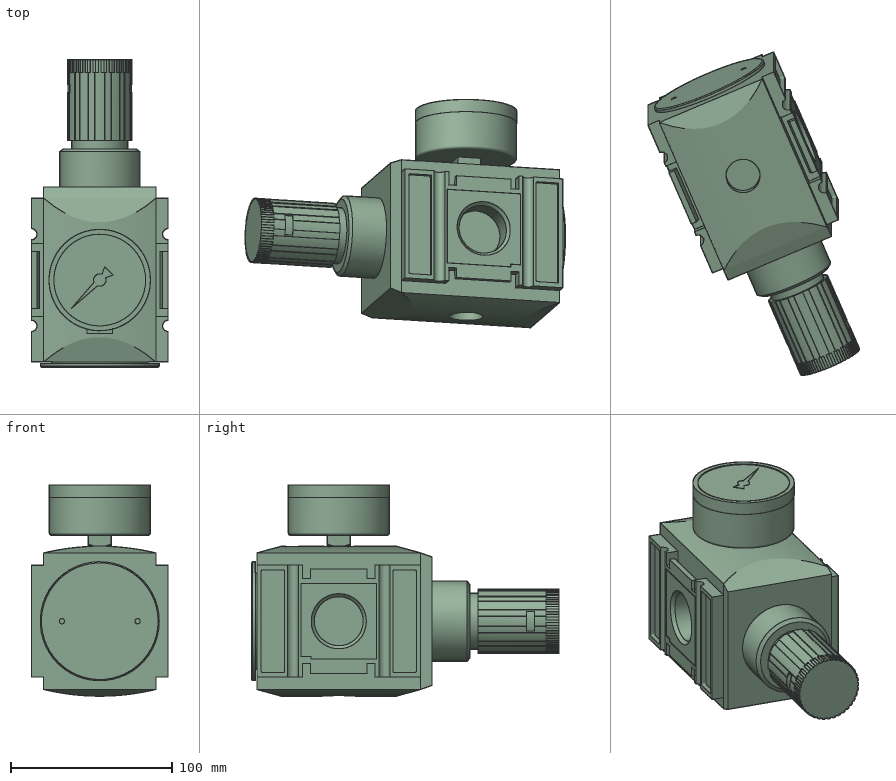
import cadquery as cq
import math


core_half_width = 34.8
body_width = 85.0
body_half_width = body_width / 2
body_half_length = 50.8
wall_half_height = 42.4
dome_half_height = 46.6
dome_flat_half_length = 35.7
rail_half_height = 34.8
cap_end = 57.9
cap_half_height = 40.0
cap_half_width = 35.0

rail_inner = 22.5
notch_floor = 26.4
block_half_length = 17.5
block_half_height = 32.5
block_top_inner = 39.0
block_foot_inner = 37.5
groove_position = 28.5
groove_radius = 3.5
pocket_center = 40.9
pocket_length = 14.5
pocket_half_height = 31.9
pocket_depth = 3.0
pocket_corner_radius = 1.0
panel_half_size = 23.5
panel_depth = 0.4
panel_tab_length = 6.1
panel_tab_height = 1.7
port_diameter = 30.4
port_mouth_diameter = 34.2
port_mouth_depth = 2.3
port_depth = 17.8

base_neck_diameter = 60.0
base_neck_length = 1.0
base_diameter = 74.0
base_end = -54.2
base_chamfer = 0.8
pin_hole_diameter = 3.2
pin_hole_position = 23.5
pin_hole_depth = 2.0

collar_diameter = 50.0
collar_end = 81.4
collar_chamfer_length = 1.7
collar_chamfer_width = 2.3
spindle_diameter = 35.0
knob_start = 86.5
knurl_start = 128.7
knob_end = 136.8
knob_radius = 20.0
knob_flute_depth = 0.5
knob_flute_count = 12
knob_rib_angle = 18
knurl_depth = 0.5
knurl_count = 36
knurl_rib_angle = 5
label_start = 116.5
label_end = 121.5
label_half_height = 6.1
label_depth = 0.2

bezel_diameter = 63.0
bezel_bottom = 76.8
case_diameter = 62.8
gauge_bottom = 53.3
gauge_top = 84.6
gauge_fillet = 1.5
lens_diameter = 57.0
lens_depth = 0.5
gauge_neck_width = 14.5
gauge_neck_bottom = 46.8
gauge_neck_foot_diameter = 16.5
gauge_neck_chamfer_height = 1.1
gauge_stem_diameter = 11.5
gauge_port_diameter = 21.0
gauge_port_depth = 7.6
pointer_height = 0.2
pointer_angle = 45
pointer_hub_radius = 3.8
pointer_tail_length = 8.0
pointer_tail_half_width = 3.6
pointer_waist_half_width = 1.7
pointer_needle_length = 24.8
pointer_needle_half_width = 1.5

recess_half_width = 7.8
recess_front = -33.0
recess_back = -24.8
recess_floor = 42.4


def box(x_range, y_range, z_range):
    """Axis-aligned box between the given limits."""
    size = [high - low for low, high in (x_range, y_range, z_range)]
    corner = (x_range[0], y_range[0], z_range[0])
    return cq.Workplane("XY").box(*size, centered=False).translate(corner)


def rod(diameter, start, end):
    """Cylinder on the Y axis from start to end."""
    return cq.Workplane("XZ", origin=(0, start, 0)).circle(diameter / 2).extrude(start - end)


def disc(diameter, bottom, top):
    """Cylinder on the Z axis from bottom to top."""
    return cq.Workplane("XY", origin=(0, 0, bottom)).circle(diameter / 2).extrude(top - bottom)


def on_both_sides(solid):
    return solid.union(solid.mirror("YZ"))


def above_and_below(solid):
    return solid.union(solid.mirror("XY"))


def toothed_rod(outer_radius, root_radius, count, rib_angle, start, end):
    """Rod on the Y axis with ribs along it; one rib is centred on +X."""
    pitch = 360 / count

    def at(radius, angle):
        turn = math.radians(angle)
        return (radius * math.cos(turn), radius * math.sin(turn))

    half_rib = rib_angle / 2
    outline = cq.Workplane("XZ", origin=(0, start, 0)).moveTo(*at(outer_radius, -half_rib))
    for tooth in range(count):
        middle = tooth * pitch
        rib_end = middle + half_rib
        next_rib = middle + pitch - half_rib
        outline = outline.threePointArc(at(outer_radius, middle), at(outer_radius, rib_end))
        outline = outline.lineTo(*at(root_radius, rib_end))
        outline = outline.threePointArc(at(root_radius, middle + pitch / 2), at(root_radius, next_rib))
        if tooth < count - 1:
            outline = outline.lineTo(*at(outer_radius, next_rib))
    return outline.close().extrude(start - end)


def mirrored_side_outline(upper_edge):
    """Closed outline in the YZ plane, with the upper edge repeated below."""
    lower_edge = [(y, -z) for y, z in reversed(upper_edge)]
    return cq.Workplane("YZ").polyline(upper_edge + lower_edge).close()


def body_core():
    """Block with domed top and bottom, sloped at both ends."""
    section = (
        cq.Workplane("XZ", origin=(0, -body_half_length, 0))
        .moveTo(-core_half_width, -wall_half_height)
        .threePointArc((0, -dome_half_height), (core_half_width, -wall_half_height))
        .lineTo(core_half_width, wall_half_height)
        .threePointArc((0, dome_half_height), (-core_half_width, wall_half_height))
        .close()
        .extrude(-2 * body_half_length)
    )
    sloped_ends = mirrored_side_outline([
        (-body_half_length, wall_half_height),
        (-dome_flat_half_length, dome_half_height),
        (dome_flat_half_length, dome_half_height),
        (body_half_length, wall_half_height),
    ]).extrude(core_half_width, both=True)
    return section.intersect(sloped_ends)


def bonnet_cap():
    """Slightly wider plate between the body and the collar, tapering towards the collar."""
    return mirrored_side_outline([
        (body_half_length, wall_half_height),
        (cap_end, cap_half_height),
    ]).extrude(cap_half_width, both=True)


def side_rails():
    """Flange on each side, notched top and bottom around a lower mounting block."""
    rails = box(
        (-body_half_width, body_half_width),
        (-body_half_length, body_half_length),
        (-rail_half_height, rail_half_height),
    )
    notch = box(
        (core_half_width, body_half_width), (-rail_inner, rail_inner), (notch_floor, rail_half_height)
    )
    block = (
        cq.Workplane("XZ", origin=(0, -block_half_length, 0))
        .polyline([
            (block_foot_inner, notch_floor),
            (body_half_width, notch_floor),
            (body_half_width, block_half_height),
            (block_top_inner, block_half_height),
        ])
        .close()
        .extrude(-2 * block_half_length)
    )
    rails = rails.cut(on_both_sides(above_and_below(notch)))
    return rails.union(on_both_sides(above_and_below(block)))


def side_cuts():
    """Everything cut into the +X side face."""
    grooves = (
        cq.Workplane("XY")
        .pushPoints([(body_half_width, groove_position), (body_half_width, -groove_position)])
        .circle(groove_radius)
        .extrude(rail_half_height, both=True)
    )
    pockets = (
        cq.Workplane("YZ", origin=(body_half_width - pocket_depth, 0, 0))
        .pushPoints([(pocket_center, 0), (-pocket_center, 0)])
        .rect(pocket_length, 2 * pocket_half_height)
        .extrude(pocket_depth)
        .edges("|X")
        .fillet(pocket_corner_radius)
    )
    panel_face = body_half_width - panel_depth
    panel = box(
        (panel_face, body_half_width),
        (-panel_half_size, panel_half_size),
        (-panel_half_size, panel_half_size),
    )
    tab = box(
        (panel_face, body_half_width),
        (-panel_half_size, -panel_half_size + panel_tab_length),
        (-panel_half_size, -panel_half_size + panel_tab_height),
    )
    port = (
        cq.Workplane("XY")
        .polyline([
            (panel_face - port_depth, 0),
            (panel_face - port_depth, port_diameter / 2),
            (panel_face - port_mouth_depth, port_diameter / 2),
            (panel_face, port_mouth_diameter / 2),
            (panel_face, 0),
        ])
        .close()
        .revolve(360, (0, 0, 0), (1, 0, 0))
    )
    return grooves.union(pockets).union(panel.cut(tab)).union(port)


def base_disc():
    neck_end = -body_half_length - base_neck_length
    neck = rod(base_neck_diameter, neck_end, -body_half_length)
    plate = rod(base_diameter, base_end, neck_end).faces("<Y").chamfer(base_chamfer)
    pin_holes = (
        cq.Workplane("XZ", origin=(0, base_end, 0))
        .pushPoints([(-pin_hole_position, 0), (pin_hole_position, 0)])
        .circle(pin_hole_diameter / 2)
        .extrude(-pin_hole_depth)
    )
    return neck.union(plate).cut(pin_holes)


def adjusting_knob():
    collar = rod(collar_diameter, cap_end, collar_end)
    collar = collar.faces(">Y").edges().chamfer(collar_chamfer_length, collar_chamfer_width)
    spindle = rod(spindle_diameter, collar_end, knob_start)
    flute_root = knob_radius - knob_flute_depth
    grip = toothed_rod(knob_radius, flute_root, knob_flute_count, knob_rib_angle, knob_start, knurl_start)
    knurl_root = knob_radius - knurl_depth
    knurl = toothed_rod(knob_radius, knurl_root, knurl_count, knurl_rib_angle, knurl_start, knob_end)
    label_area = box(
        (-knob_radius, knob_radius), (label_start, label_end), (-label_half_height, label_half_height)
    )
    label = label_area.intersect(rod(2 * (knob_radius - label_depth), label_start, label_end))
    grip = grip.cut(label_area).union(label)
    return collar.union(spindle).union(grip).union(knurl)


def pointer():
    """Gauge pointer lying on the lens, drawn along +X and turned to its reading."""
    lens_face = gauge_top - lens_depth
    plane = cq.Workplane("XY", origin=(0, 0, lens_face))
    hub = plane.circle(pointer_hub_radius).extrude(pointer_height)
    blade = (
        plane.polyline([
            (pointer_tail_length, pointer_tail_half_width),
            (pointer_hub_radius, pointer_waist_half_width),
            (-pointer_hub_radius, pointer_needle_half_width),
            (-pointer_needle_length, 0),
            (-pointer_hub_radius, -pointer_needle_half_width),
            (pointer_hub_radius, -pointer_waist_half_width),
            (pointer_tail_length, -pointer_tail_half_width),
        ])
        .close()
        .extrude(pointer_height)
    )
    return hub.union(blade).rotate((0, 0, 0), (0, 0, 1), pointer_angle)


def gauge_neck():
    """Square neck with its lower corners chamfered by a cone, on a round stem in the gauge port."""
    corner_diameter = gauge_neck_width * math.sqrt(2)
    corner_chamfer = (corner_diameter - gauge_neck_foot_diameter) / 2
    half_width = gauge_neck_width / 2
    square = box((-half_width, half_width), (-half_width, half_width), (gauge_neck_bottom, gauge_bottom))
    cone = disc(corner_diameter, gauge_neck_bottom, gauge_bottom)
    cone = cone.faces("<Z").chamfer(gauge_neck_chamfer_height, corner_chamfer)
    stem = disc(gauge_stem_diameter, dome_half_height - gauge_port_depth, gauge_neck_bottom)
    return square.intersect(cone).union(stem)


def gauge():
    case = disc(case_diameter, gauge_bottom, bezel_bottom).faces("<Z").edges().fillet(gauge_fillet)
    bezel = disc(bezel_diameter, bezel_bottom, gauge_top)
    lens = disc(lens_diameter, gauge_top - lens_depth, gauge_top)
    return case.union(bezel).cut(lens).union(pointer()).union(gauge_neck())


gauge_port = disc(gauge_port_diameter, dome_half_height - gauge_port_depth, dome_half_height)
top_recess = box(
    (-recess_half_width, recess_half_width), (recess_front, recess_back), (recess_floor, dome_half_height)
)

body = body_core().union(bonnet_cap()).union(side_rails())
body = body.cut(on_both_sides(side_cuts()))
body = body.cut(above_and_below(gauge_port)).cut(top_recess)

result = body.union(base_disc()).union(adjusting_knob()).union(gauge())